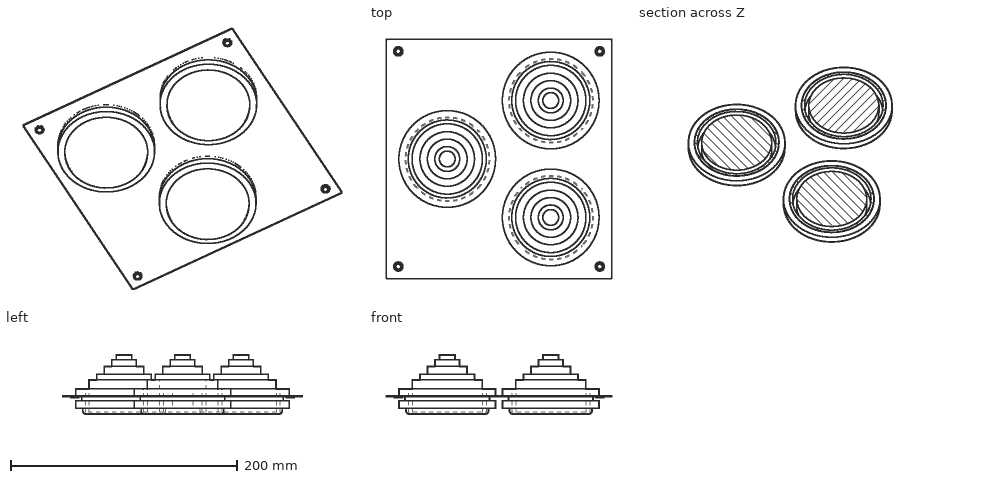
import cadquery as cq

PLATE_WIDTH = 200.0
PLATE_LENGTH = 212.0
PLATE_THICKNESS = 1.0
PLATE_CORNER_RADIUS = 1.0
PLATE_BOTTOM = 15.3
PLATE_TOP = PLATE_BOTTOM + PLATE_THICKNESS

SCREW_INSET = 10.8
SCREW_HOLE_RADIUS = 2.3
COUNTERSINK_RADIUS = 4.0
BOSS_RADIUS = 3.5
BOSS_HEIGHT = 0.8
SCREW_X = PLATE_WIDTH / 2 - SCREW_INSET
SCREW_Y = PLATE_LENGTH / 2 - SCREW_INSET
SCREW_POINTS = [(x, y) for x in (-SCREW_X, SCREW_X) for y in (-SCREW_Y, SCREW_Y)]

UNIT_X = 45.8
UNIT_Y = 51.7
UNIT_POINTS = [(-UNIT_X, 0), (UNIT_X, -UNIT_Y), (UNIT_X, UNIT_Y)]

CAP_RADIUS = 36.7
CAP_FILLET = 3.2
COLLAR_RADIUS = 42.8
COLLAR_BOTTOM = 5.0
COLLAR_TOP = 12.0
NECK_RADIUS = 37.5
FLANGE_RADIUS = COLLAR_RADIUS
FLANGE_TOP = 22.5

WELL_RADIUS = 34.5
WELL_FLOOR = 2.1

STEPS = [
    (31.2, 30.3),
    (24.2, 35.5),
    (17.5, 42.5),
    (11.0, 48.3),
    (7.0, 52.5),
]


def disc(radius, bottom, top):
    """Upright cylinder on the Z axis between two heights."""
    return cq.Workplane("XY").workplane(offset=bottom).circle(radius).extrude(top - bottom)


def make_plate():
    """Thin plate with an opening that fits each unit neck and a countersunk hole at each corner."""
    plate = (
        cq.Workplane("XY")
        .workplane(offset=PLATE_BOTTOM)
        .rect(PLATE_WIDTH, PLATE_LENGTH)
        .extrude(PLATE_THICKNESS)
        .edges("|Z")
        .fillet(PLATE_CORNER_RADIUS)
    )
    boss = disc(BOSS_RADIUS, PLATE_BOTTOM - BOSS_HEIGHT, PLATE_BOTTOM)
    countersink = cq.Workplane(
        cq.Solid.makeCone(
            SCREW_HOLE_RADIUS,
            COUNTERSINK_RADIUS,
            PLATE_THICKNESS + BOSS_HEIGHT,
            pnt=cq.Vector(0, 0, PLATE_BOTTOM - BOSS_HEIGHT),
        )
    )
    for x, y in SCREW_POINTS:
        plate = plate.union(boss.translate((x, y, 0)))
        plate = plate.cut(countersink.translate((x, y, 0)))
    opening = disc(NECK_RADIUS, PLATE_BOTTOM, PLATE_TOP)
    for x, y in UNIT_POINTS:
        plate = plate.cut(opening.translate((x, y, 0)))
    return plate


def make_unit(x, y):
    """Round base holding the plate between collar and flange, with steps rising from its well."""
    unit = disc(CAP_RADIUS, 0, COLLAR_BOTTOM).faces("<Z").edges().fillet(CAP_FILLET)
    unit = unit.union(disc(COLLAR_RADIUS, COLLAR_BOTTOM, COLLAR_TOP))
    unit = unit.union(disc(NECK_RADIUS, COLLAR_TOP, PLATE_TOP))
    unit = unit.union(disc(FLANGE_RADIUS, PLATE_TOP, FLANGE_TOP))
    unit = unit.cut(disc(WELL_RADIUS, WELL_FLOOR, FLANGE_TOP))
    step_bottom = WELL_FLOOR
    for radius, step_top in STEPS:
        unit = unit.union(disc(radius, step_bottom, step_top))
        step_bottom = step_top
    return unit.translate((x, y, 0))


plate = make_plate()
units = [make_unit(x, y) for x, y in UNIT_POINTS]

result = cq.Compound.makeCompound([plate.val(), *[unit.val() for unit in units]])